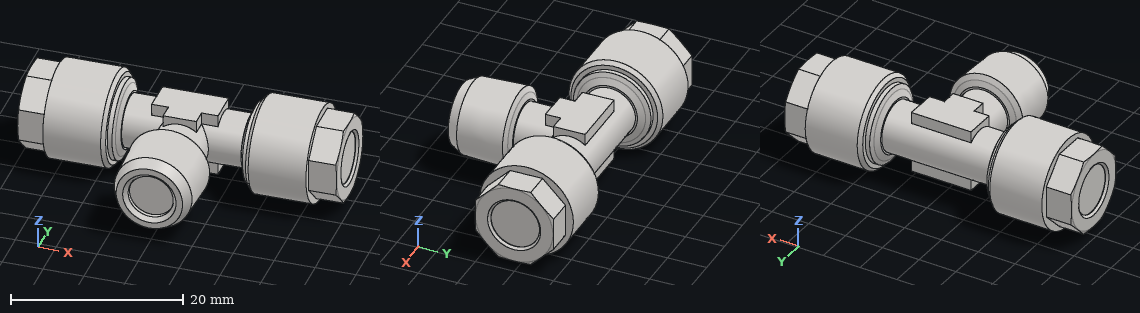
import cadquery as cq
import math

length = 39.0
half_length = length / 2
branch_reach = 15.5

pipe_radius = 6.5 / 2

octagon_flats = 10.0
octagon_length = 3.45
octagon_end_radius = 9.9 / 2
octagon_chamfer_angle = 15
sleeve_radius = 12.0 / 2
sleeve_length = 7.53
sleeve_chamfer = 0.45
run_bore_radius = 6.2 / 2
run_bore_mouth_radius = 6.8 / 2
run_bore_depth = 0.35

collar_radius = 9.9 / 2
collar_land = 0.6
collar_edge_length = 0.25
collar_edge_radius = 4.35
collar_nose_length = 0.4
nose_radius = 3.5

thread_end_radius = 4.05
thread_small_radius = 9.5 / 2
thread_large_radius = 10.0 / 2
thread_chamfer_length = 1.4
thread_taper_length = 5.95
shoulder_radius = 4.3
shoulder_edge_length = 0.35
shoulder_nose_length = 0.27
branch_bore_radius = 5.5 / 2
branch_bore_mouth_radius = 6.5 / 2
branch_bore_depth = 1.0

pad_half_height = 4.05
pad_half_width = 4.05
pad_half_bar = pad_half_width / 2
pad_stem_reach = 3.98


def turned(points):
    """Revolve an (axial, radial) outline about the X axis."""
    return cq.Workplane("XY").polyline(points).close().revolve(360, (0, 0, 0), (1, 0, 0))


def bore(end, radius, mouth_radius, depth):
    """Blind bore with a 45 degree mouth, entered from +X at the given end."""
    floor = end - depth
    mouth_floor = end - (mouth_radius - radius)
    return turned([(floor, 0), (floor, radius), (mouth_floor, radius), (end, mouth_radius), (end, 0)])


def run_arm():
    """Collar, sleeve and octagonal nut on the +X side."""
    sleeve_outer = half_length - octagon_length
    sleeve_inner = sleeve_outer - sleeve_length
    collar_inner = sleeve_inner - collar_land
    edge = collar_inner - collar_edge_length
    nose = edge - collar_nose_length
    arm = turned([
        (nose, 0),
        (nose, nose_radius),
        (edge, collar_edge_radius),
        (collar_inner, collar_radius),
        (sleeve_inner, collar_radius),
        (sleeve_inner, sleeve_radius - sleeve_chamfer),
        (sleeve_inner + sleeve_chamfer, sleeve_radius),
        (sleeve_outer, sleeve_radius),
        (sleeve_outer, 0),
    ])
    octagon_corner_radius = octagon_flats / 2 / math.cos(math.pi / 8)
    octagon = (
        cq.Workplane("YZ", origin=(sleeve_outer, 0, 0))
        .polygon(8, 2 * octagon_corner_radius)
        .extrude(octagon_length)
        .rotate((0, 0, 0), (1, 0, 0), 180 / 8)
    )
    chamfer_rise = octagon_length / math.tan(math.radians(octagon_chamfer_angle))
    chamfer_cone = turned([
        (sleeve_outer, 0),
        (sleeve_outer, octagon_end_radius + chamfer_rise),
        (half_length, octagon_end_radius),
        (half_length, 0),
    ])
    arm = arm.union(octagon.intersect(chamfer_cone))
    return arm.cut(bore(half_length, run_bore_radius, run_bore_mouth_radius, run_bore_depth))


def branch():
    """Pipe and tapered end, built along +X and turned to -Y."""
    taper_outer = branch_reach - thread_chamfer_length
    taper_inner = taper_outer - thread_taper_length
    shoulder = taper_inner - shoulder_edge_length
    nose = shoulder - shoulder_nose_length
    body = turned([
        (0, 0),
        (0, pipe_radius),
        (nose, pipe_radius),
        (nose, nose_radius),
        (shoulder, shoulder_radius),
        (taper_inner, thread_large_radius),
        (taper_outer, thread_small_radius),
        (branch_reach, thread_end_radius),
        (branch_reach, 0),
    ])
    body = body.cut(bore(branch_reach, branch_bore_radius, branch_bore_mouth_radius, branch_bore_depth))
    return body.rotate((0, 0, 0), (0, 0, 1), -90)


def flats_pad():
    """T-shaped block through the crossing, with flats above and below the pipes."""
    bar = cq.Workplane("XY").box(2 * pad_half_width, 2 * pad_half_bar, 2 * pad_half_height)
    stem = (
        cq.Workplane("XY")
        .box(2 * pad_half_bar, pad_stem_reach, 2 * pad_half_height)
        .translate((0, -pad_stem_reach / 2, 0))
    )
    return bar.union(stem)


arm = run_arm()
run_pipe = (
    cq.Workplane("YZ")
    .circle(pipe_radius)
    .extrude(half_length - octagon_length - sleeve_length, both=True)
)
result = run_pipe.union(arm).union(arm.mirror("YZ")).union(branch()).union(flats_pad())